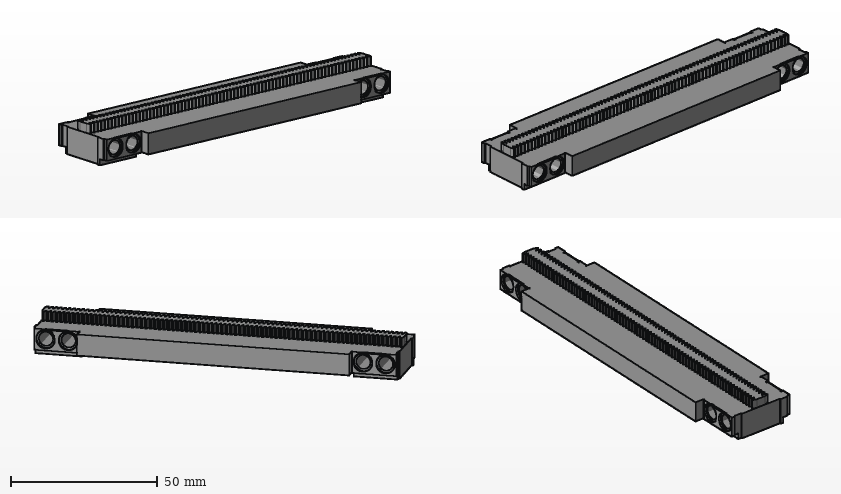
import cadquery as cq

overall_length = 128.8
overall_width = 31.8
overall_height = 13.1

flange_bottom = 2.2
deck_height = 9.8

key_projection = 0.45
bar_length = overall_length - 2 * key_projection
middle_length = 96.1
end_width = 25.2
foot_width = 18.9

key_inner_x = 8.2
key_root_x = 11.5
key_tip_x = 11.1

rib_end_inset = 0.06
rib_length = bar_length - 2 * rib_end_inset
rib_width = 6.6
rib_core_width = 3.5
tooth_count = 81
tooth_tip_length = 0.5
tooth_root_length = 0.3

hole_diameter = 5.0
counterbore_diameter = 6.6
counterbore_depth = 0.8
outer_hole_y = 60.0
hole_spacing = 8.0
hole_z = 6.2

edge_step_depth = 0.4
relief_width = 0.19
relief_depth = 0.4


def block(x_range, y_range, z_range):
    """Box spanning the given ranges."""
    size = [end - start for start, end in (x_range, y_range, z_range)]
    corner = (x_range[0], y_range[0], z_range[0])
    return cq.Workplane("XY").box(*size, centered=False).translate(corner)


def centred_block(width, length, z_range):
    """Box centred on the Z axis."""
    return block((-width / 2, width / 2), (-length / 2, length / 2), z_range)


def half_turn(shape):
    """Copy of a shape rotated half a turn about the Z axis."""
    return shape.rotate((0, 0, 0), (0, 0, 1), 180)


def make_body():
    """Stepped bar with a foot under each end."""
    deck_range = (flange_bottom, deck_height)
    body = centred_block(overall_width, middle_length, deck_range)
    body = body.union(centred_block(end_width, bar_length, deck_range))
    foot = block(
        (-foot_width / 2, foot_width / 2),
        (middle_length / 2, bar_length / 2),
        (0, flange_bottom),
    )
    return body.union(foot).union(half_turn(foot))


def make_key_prism(direction, bottom, top):
    """Key profile at the +Y end, growing outward (+1) or cutting inward (-1)."""
    base_y = bar_length / 2
    tip_y = base_y + direction * key_projection
    outline = [
        (-key_inner_x, base_y),
        (-key_inner_x, tip_y),
        (-key_tip_x, tip_y),
        (-key_root_x, base_y),
    ]
    prism = cq.Workplane("XY").workplane(offset=bottom).polyline(outline).close()
    return prism.extrude(top - bottom)


def add_end_keys(body):
    """One key and one keyway on each end face, alternating by a half turn."""
    foot_side = block(
        (-foot_width / 2, 0),
        (0, overall_length),
        (0, flange_bottom),
    )
    key = make_key_prism(1, flange_bottom, deck_height)
    key = key.union(make_key_prism(1, 0, flange_bottom).intersect(foot_side))
    keyway = make_key_prism(-1, 0, deck_height).mirror("YZ")
    body = body.union(key).union(half_turn(key))
    return body.cut(keyway).cut(half_turn(keyway))


def make_rib():
    """Rib with trapezoidal teeth down both sides."""
    pitch = (rib_length + tooth_root_length) / tooth_count
    flank_length = (pitch - tooth_tip_length - tooth_root_length) / 2
    core_x = rib_core_width / 2
    tip_x = rib_width / 2
    right_side = []
    for index in range(tooth_count):
        start = index * pitch - rib_length / 2
        tip_start = start + flank_length
        tip_end = tip_start + tooth_tip_length
        right_side += [
            (core_x, start),
            (tip_x, tip_start),
            (tip_x, tip_end),
            (core_x, tip_end + flank_length),
        ]
    left_side = [(-x, y) for x, y in reversed(right_side)]
    deck = cq.Workplane("XY").workplane(offset=deck_height)
    profile = deck.polyline(right_side + left_side).close()
    return profile.extrude(overall_height - deck_height)


def make_cross_hole(y):
    """Through hole along X, counterbored from both sides."""
    hole = cq.Workplane("YZ").center(y, hole_z).circle(hole_diameter / 2)
    hole = hole.extrude(end_width / 2, both=True)
    ring = cq.Workplane("YZ").workplane(offset=end_width / 2 - counterbore_depth)
    ring = ring.center(y, hole_z).circle(counterbore_diameter / 2).extrude(counterbore_depth)
    return hole.union(ring).union(ring.mirror("YZ"))


def make_corner_cuts():
    """Edge step and relief slit at the +X, +Y corner."""
    side_x = end_width / 2
    step = block(
        (side_x - edge_step_depth, side_x),
        (outer_hole_y - hole_spacing, outer_hole_y),
        (hole_z + counterbore_diameter / 2, deck_height),
    )
    slit = block(
        (side_x - relief_depth, side_x),
        (middle_length / 2, middle_length / 2 + relief_width),
        (flange_bottom, deck_height),
    )
    return step.union(slit)


result = add_end_keys(make_body()).union(make_rib())

for end in (-1, 1):
    for hole_y in (outer_hole_y, outer_hole_y - hole_spacing):
        result = result.cut(make_cross_hole(end * hole_y))

corner_cuts = make_corner_cuts()
corner_cuts = corner_cuts.union(corner_cuts.mirror("YZ"))
result = result.cut(corner_cuts).cut(half_turn(corner_cuts))